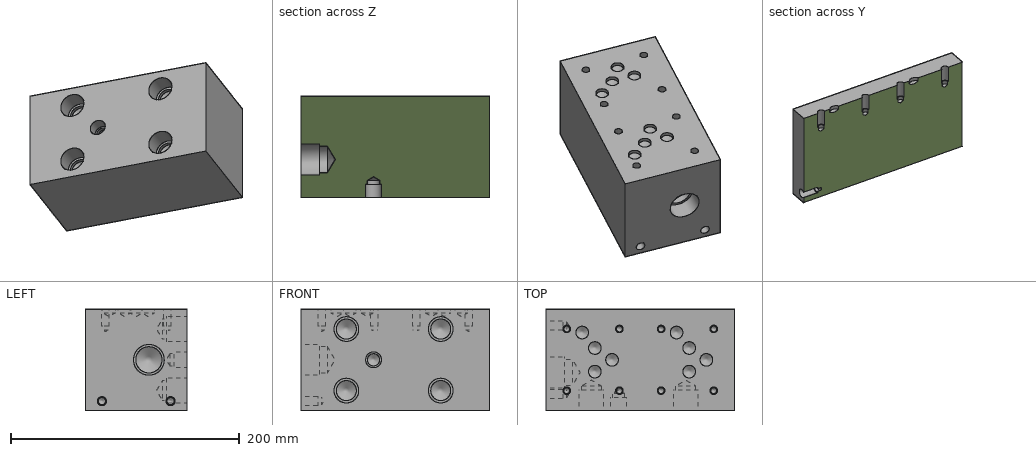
import cadquery as cq
import math

LENGTH = 165.1
WIDTH = 88.8
HEIGHT = 88.8

DRILL_POINT_ANGLE = 118.0

STATION_PITCH = LENGTH / 2
STATIONS_X = (-STATION_PITCH / 2, STATION_PITCH / 2)

BOLT_SPACING_X = 46.0
BOLT_SPACING_Y = 54.0
BOLT_THREAD_DIAMETER = 6.6
BOLT_DRILL_DIAMETER = 5.1
BOLT_THREAD_DEPTH = 14.9
BOLT_DRILL_DEPTH = 18.2
FLOW_PORT_DIAMETER = 11.0
FLOW_PORT_DEPTH = 3.3
FLOW_PORT_OFFSETS = ((13.5, 3.1), (24.6, 16.7), (39.6, 27.0), (24.6, 37.3))

WORK_PORT_THREAD_DIAMETER = 21.6
WORK_PORT_DRILL_DIAMETER = 17.5
WORK_PORT_THREAD_DEPTH = 18.2
WORK_PORT_DRILL_DEPTH = 21.5
WORK_PORT_SHIFT_X = -1.5
WORK_PORT_Z = 26.9

GAUGE_THREAD_DIAMETER = 13.9
GAUGE_DRILL_DIAMETER = 10.7
GAUGE_THREAD_DEPTH = 11.5
GAUGE_DRILL_DEPTH = 14.9
GAUGE_X = -19.0

PRESSURE_THREAD_DIAMETER = 26.9
PRESSURE_DRILL_DIAMETER = 23.0
PRESSURE_THREAD_DEPTH = 16.2
PRESSURE_DRILL_DEPTH = 23.1
PRESSURE_Y = -11.0

MOUNT_THREAD_DIAMETER = 8.0
MOUNT_DRILL_DIAMETER = 6.3
MOUNT_THREAD_DEPTH = 14.9
MOUNT_DRILL_DEPTH = 18.2
MOUNT_SPACING_Y = 60.1
MOUNT_Z = -36.2

DOWN = cq.Vector(0, 0, -1)
REARWARD = cq.Vector(0, 1, 0)
RIGHTWARD = cq.Vector(1, 0, 0)


def drilled_hole(mouth, direction, diameter, depth):
    """Blind hole with a conical bottom; depth is that of the cylindrical wall."""
    radius = diameter / 2
    point_length = radius / math.tan(math.radians(DRILL_POINT_ANGLE / 2))
    start = cq.Vector(*mouth)
    wall = cq.Solid.makeCylinder(radius, depth, start, direction)
    point = cq.Solid.makeCone(radius, 0, point_length, start + direction * depth, direction)
    return wall.fuse(point)


def threaded_hole(mouth, direction, thread_diameter, thread_depth, drill_diameter, drill_depth):
    """Wide threaded stretch over a narrower and deeper drilled hole."""
    thread = cq.Solid.makeCylinder(thread_diameter / 2, thread_depth, cq.Vector(*mouth), direction)
    return thread.fuse(drilled_hole(mouth, direction, drill_diameter, drill_depth))


def valve_station(station_x):
    """Bolt holes and flow ports of one valve on the top face."""
    top = HEIGHT / 2
    left = station_x - BOLT_SPACING_X / 2
    rear = BOLT_SPACING_Y / 2
    holes = []
    for x in (left, left + BOLT_SPACING_X):
        for y in (-rear, rear):
            holes.append(threaded_hole(
                (x, y, top), DOWN,
                BOLT_THREAD_DIAMETER, BOLT_THREAD_DEPTH,
                BOLT_DRILL_DIAMETER, BOLT_DRILL_DEPTH,
            ))
    for right_offset, front_offset in FLOW_PORT_OFFSETS:
        mouth = (left + right_offset, rear - front_offset, top)
        holes.append(drilled_hole(mouth, DOWN, FLOW_PORT_DIAMETER, FLOW_PORT_DEPTH))
    return holes


def work_ports(station_x):
    """Upper and lower work port of one valve on the front face."""
    return [
        threaded_hole(
            (station_x + WORK_PORT_SHIFT_X, -WIDTH / 2, z), REARWARD,
            WORK_PORT_THREAD_DIAMETER, WORK_PORT_THREAD_DEPTH,
            WORK_PORT_DRILL_DIAMETER, WORK_PORT_DRILL_DEPTH,
        )
        for z in (-WORK_PORT_Z, WORK_PORT_Z)
    ]


def gauge_port():
    return threaded_hole(
        (GAUGE_X, -WIDTH / 2, 0), REARWARD,
        GAUGE_THREAD_DIAMETER, GAUGE_THREAD_DEPTH,
        GAUGE_DRILL_DIAMETER, GAUGE_DRILL_DEPTH,
    )


def pressure_port():
    return threaded_hole(
        (-LENGTH / 2, PRESSURE_Y, 0), RIGHTWARD,
        PRESSURE_THREAD_DIAMETER, PRESSURE_THREAD_DEPTH,
        PRESSURE_DRILL_DIAMETER, PRESSURE_DRILL_DEPTH,
    )


def mounting_holes():
    """Pair of threaded holes near the bottom edge of the left end face."""
    return [
        threaded_hole(
            (-LENGTH / 2, y, MOUNT_Z), RIGHTWARD,
            MOUNT_THREAD_DIAMETER, MOUNT_THREAD_DEPTH,
            MOUNT_DRILL_DIAMETER, MOUNT_DRILL_DEPTH,
        )
        for y in (-MOUNT_SPACING_Y / 2, MOUNT_SPACING_Y / 2)
    ]


holes = [gauge_port(), pressure_port()]
holes += mounting_holes()
for station_x in STATIONS_X:
    holes += valve_station(station_x)
    holes += work_ports(station_x)

result = cq.Workplane("XY").box(LENGTH, WIDTH, HEIGHT)
for hole in holes:
    result = result.cut(cq.Workplane(hole))